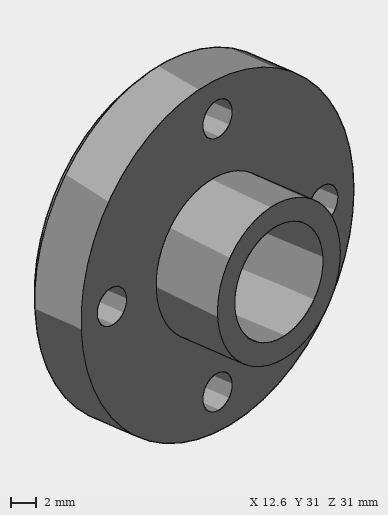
import cadquery as cq

flange_diameter = 31.0
overall_length = 12.6
flange_thickness = 5.98
rim_chamfer = 1.0
hub_diameter = 13.95
bore_diameter = 10.0

bolt_hole_count = 4
bolt_hole_diameter = 3.32
bolt_circle_diameter = 24.0


def make_flange():
    """Disc with a chamfered front rim."""
    disc = cq.Workplane("YZ").circle(flange_diameter / 2).extrude(flange_thickness)
    return disc.faces("<X").chamfer(rim_chamfer)


def make_hub():
    """Cylinder running the full length, embedded in the flange."""
    return cq.Workplane("YZ").circle(hub_diameter / 2).extrude(overall_length)


def make_bore():
    """Central through bore."""
    return cq.Workplane("YZ").circle(bore_diameter / 2).extrude(overall_length)


def make_bolt_holes():
    """Through holes in the flange, on the Y and Z axes."""
    return (
        cq.Workplane("YZ")
        .polarArray(bolt_circle_diameter / 2, 0, 360, bolt_hole_count)
        .circle(bolt_hole_diameter / 2)
        .extrude(flange_thickness)
    )


result = make_flange().union(make_hub()).cut(make_bore()).cut(make_bolt_holes())